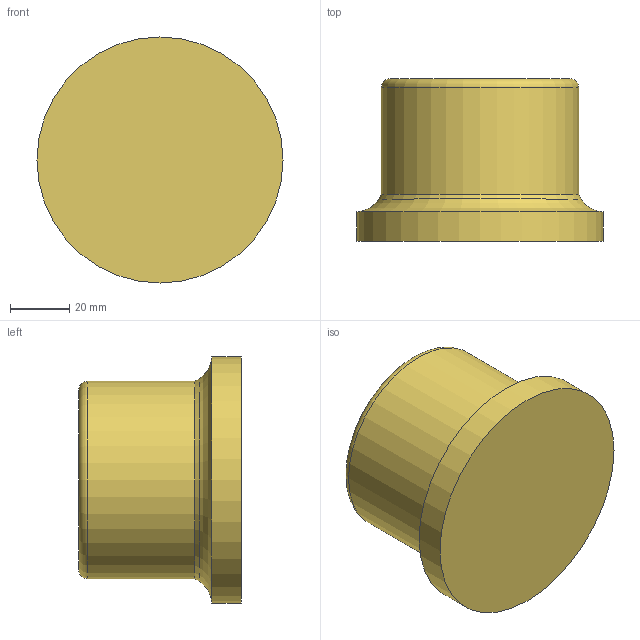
import cadquery as cq
import math

flange_diameter = 83.25
flange_thickness = 10.0
total_length = 55.0
barrel_diameter = 66.75
rim_radius = 3.0
neck_radius = 8.5
neck_sweep = 60.0

flange_radius = flange_diameter / 2
barrel_radius = barrel_diameter / 2


def neck_point(angle_degrees):
    """Point (radius, Y) on the neck arc, which leaves the flange's outer edge tangent to its face."""
    angle = math.radians(angle_degrees)
    return (
        flange_radius - neck_radius * math.sin(angle),
        flange_thickness + neck_radius * (1 - math.cos(angle)),
    )


cone_base_radius, cone_base_y = neck_point(neck_sweep)
cone_length = (cone_base_radius - barrel_radius) * math.tan(math.radians(neck_sweep))
barrel_start_y = cone_base_y + cone_length


def make_plug():
    """Revolve the half profile (radius along X, length along Y) about the Y axis."""
    rim_inset = rim_radius * (1 - math.sqrt(0.5))
    profile = (
        cq.Workplane("XY")
        .lineTo(flange_radius, 0)
        .lineTo(flange_radius, flange_thickness)
        .threePointArc(neck_point(neck_sweep / 2), (cone_base_radius, cone_base_y))
        .lineTo(barrel_radius, barrel_start_y)
        .lineTo(barrel_radius, total_length - rim_radius)
        .threePointArc(
            (barrel_radius - rim_inset, total_length - rim_inset),
            (barrel_radius - rim_radius, total_length),
        )
        .lineTo(0, total_length)
        .close()
    )
    return profile.revolve(360, (0, 0, 0), (0, 1, 0))


result = make_plug()